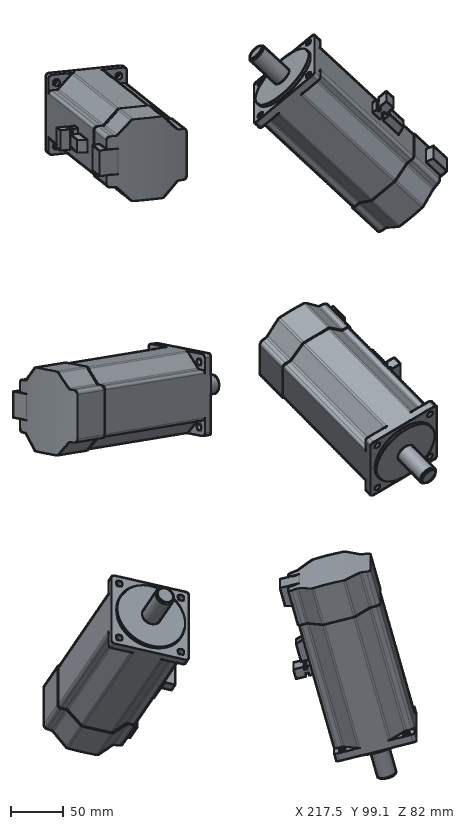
import cadquery as cq
import math


flange_size = 80.0
flange_thickness = 8.0
flange_corner_radius = 3.5
pilot_diameter = 70.0
pilot_height = 3.0
bolt_circle_diameter = 90.0
bolt_hole_diameter = 6.6

shaft_diameter = 19.0
shaft_tip_x = -40.0
shaft_chamfer = 1.5

corner_shelf_height = 24.6
slope_start_half_width = 15.5
barrel_fillet_radius = 3.0
selection_margin = 0.5

cover_start_x = 138.3
cover_end_x = 177.5
cover_growth = 1.0
cover_dome_radius = 250.0

power_start_x = 81.2
power_length = 10.0
power_width = 20.4
power_neck_length = 4.0
power_base_height = 5.0
power_neck_height = 3.0
power_total_height = 18.1

brake_start_x = 95.6
brake_base_end_x = 117.4
brake_top_end_x = 114.5
brake_width = 12.6
brake_height = 9.2

encoder_base_start_x = 154.4
encoder_top_start_x = 156.6
encoder_end_x = 175.7
encoder_width = 25.6
encoder_height = 8.8

connector_embed = 12.0

half_size = flange_size / 2
half_cover_size = half_size + cover_growth


def barrel_section(start_x, end_x, growth):
    """Prism along X with 45 degree slopes beside its top and bottom and a shelf at each corner."""
    top = half_size + growth
    shelf = corner_shelf_height + growth
    slope_top = slope_start_half_width + growth * math.tan(math.pi / 8)
    slope_foot = slope_top + top - shelf
    quadrant = [(slope_top, top), (slope_foot, shelf), (top, shelf)]
    right_half = quadrant + [(y, -z) for y, z in reversed(quadrant)]
    outline = right_half + [(-y, -z) for y, z in right_half]
    slope_edges = cq.selectors.BoxSelector(
        (start_x, -slope_foot - selection_margin, -top - selection_margin),
        (end_x, slope_foot + selection_margin, top + selection_margin),
    )
    return (
        cq.Workplane("YZ", origin=(start_x, 0, 0))
        .polyline(outline)
        .close()
        .extrude(end_x - start_x)
        .faces("<Y or >Y")
        .edges("|X")
        .fillet(barrel_fillet_radius + growth)
        .edges("|X")
        .edges(slope_edges)
        .fillet(barrel_fillet_radius)
    )


def make_flange():
    flange = (
        cq.Workplane("YZ")
        .rect(flange_size, flange_size)
        .extrude(flange_thickness)
        .edges("|X")
        .fillet(flange_corner_radius)
    )
    pilot = cq.Workplane("YZ").circle(pilot_diameter / 2).extrude(-pilot_height)
    bolt_holes = (
        cq.Workplane("YZ")
        .polarArray(bolt_circle_diameter / 2, startAngle=45, angle=360, count=4)
        .circle(bolt_hole_diameter / 2)
        .extrude(flange_thickness)
    )
    return flange.cut(bolt_holes).union(pilot)


def make_cover():
    """Rear cover whose end is a cylinder with a vertical axis."""
    cover = barrel_section(cover_start_x, cover_end_x, cover_growth)
    dome = (
        cq.Workplane("XY", origin=(cover_end_x - cover_dome_radius, 0, -half_cover_size))
        .circle(cover_dome_radius)
        .extrude(2 * half_cover_size)
    )
    return cover.intersect(dome)


def side_block(outline, width):
    """Block with the given (x, y) outline, centred on Z = 0."""
    return cq.Workplane("XY").polyline(outline).close().extrude(width / 2, both=True)


def make_power_connector():
    end_x = power_start_x + power_length
    tip_y = -half_size - power_total_height
    base_y = -half_size - power_base_height
    head_y = base_y - power_neck_height
    neck_start_x = power_start_x + (power_length - power_neck_length) / 2
    neck_end_x = neck_start_x + power_neck_length
    outline = [
        (power_start_x, connector_embed - half_size),
        (power_start_x, base_y),
        (neck_start_x, base_y),
        (neck_start_x, head_y),
        (power_start_x, head_y),
        (power_start_x, tip_y),
        (end_x, tip_y),
        (end_x, head_y),
        (neck_end_x, head_y),
        (neck_end_x, base_y),
        (end_x, base_y),
        (end_x, connector_embed - half_size),
    ]
    return side_block(outline, power_width)


def make_brake_connector():
    tip_y = -half_size - brake_height
    outline = [
        (brake_start_x, connector_embed - half_size),
        (brake_start_x, tip_y),
        (brake_top_end_x, tip_y),
        (brake_base_end_x, -half_size),
        (brake_base_end_x, connector_embed - half_size),
    ]
    return side_block(outline, brake_width)


def make_encoder_connector():
    tip_y = -half_size - encoder_height
    outline = [
        (encoder_base_start_x, connector_embed - half_cover_size),
        (encoder_base_start_x, -half_cover_size),
        (encoder_top_start_x, tip_y),
        (encoder_end_x, tip_y),
        (encoder_end_x, connector_embed - half_cover_size),
    ]
    return side_block(outline, encoder_width)


def make_housing():
    return (
        make_flange()
        .union(barrel_section(flange_thickness, cover_start_x, 0))
        .union(make_cover())
        .union(make_power_connector())
        .union(make_brake_connector())
        .union(make_encoder_connector())
    )


def make_shaft():
    """Shaft that stands on the pilot face, with a chamfered tip."""
    return (
        cq.Workplane("YZ", origin=(shaft_tip_x, 0, 0))
        .circle(shaft_diameter / 2)
        .extrude(-pilot_height - shaft_tip_x)
        .faces("<X")
        .chamfer(shaft_chamfer)
    )


housing = make_housing()
shaft = make_shaft()

result = cq.Compound.makeCompound([housing.val(), shaft.val()])